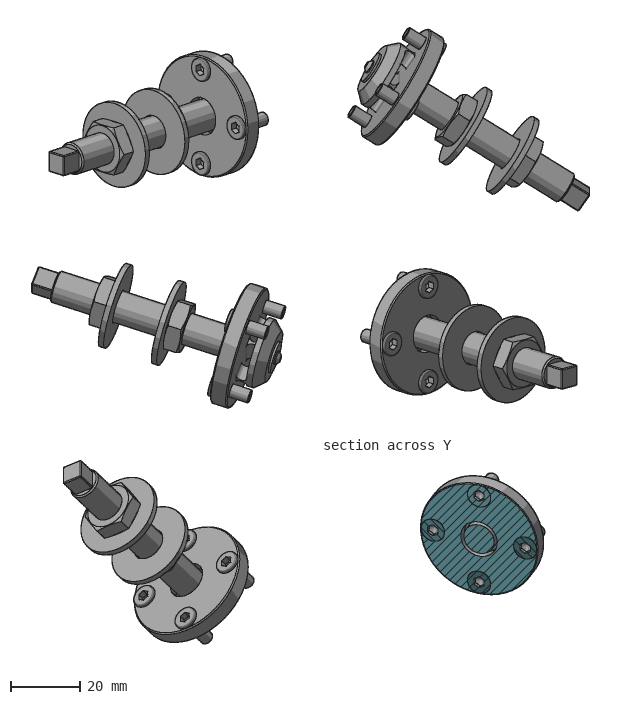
import cadquery as cq
import math


square_length = 6.3
recess_depth = 3.0
disc_front = 60.3
disc_thickness = 5.2
disc_back = disc_front + disc_thickness
rib_gap = 3.2
dome_front = disc_back + rib_gap
dome_rim_height = 1.8
dome_cone_height = 2.95
dome_back = dome_front + dome_rim_height + dome_cone_height
boss_height = 0.7
overall_length = 75.5

shaft_radius = 4.75
shaft_chamfer = 0.45
square_side = 6.2
square_chamfer = 0.3
disc_radius = 18.3
disc_chamfer = 0.4
recess_radius = 5.6
dome_radius = 10.4
dome_top_radius = 7.7
tip_radius = 2.05
tip_chamfer = 1.0

rib_fillet = rib_gap / 2
rib_half_web = 0.4
side_rib_inner = 5.7

hex_flats = 14.4
hex_corner_radius = hex_flats / math.sqrt(3)
nut_height = 4.8
nut_face_radius = 7.0
nut_chamfer_angle = 20
washer_radius = 12.7
washer_bore_radius = 5.0
washer_thickness = 1.65
front_washer_front = 24.0
rear_washer_front = 40.3

screw_count = 4
screw_circle_radius = 14.35
screw_radius = 2.0
screw_length = 7.9
screw_end_chamfer = 0.2
head_radius = 3.51
head_height = 4.0
head_fillet = 0.3
head_protrusion = 0.9
socket_flats = 3.0
socket_corner_radius = socket_flats / math.sqrt(3)
socket_depth = 2.0
socket_cone_height = 1.0
head_front = disc_front - head_protrusion
head_seat = head_front + head_height


def cylinder(radius, y_start, length):
    """Cylinder on the Y axis, running from y_start towards +Y."""
    return cq.Workplane("XZ", origin=(0, y_start, 0)).circle(radius).extrude(-length)


def hexagon(corner_radius, y_start, length, turn=0):
    """Hexagonal prism on the Y axis, with corners on +X and -X when turn is 0."""
    prism = cq.Workplane("XZ", origin=(0, y_start, 0)).polygon(6, 2 * corner_radius).extrude(-length)
    return prism.rotate((0, 0, 0), (0, 1, 0), turn)


def revolve_about_y(points):
    """Solid of revolution from (radius, y) points."""
    return cq.Workplane("XY").polyline(points).close().revolve(360, (0, 0, 0), (0, 1, 0))


def screw_places(body):
    """Copies of a body on the Y axis, moved to the places of the screws."""
    copies = []
    for index in range(screw_count):
        turn = math.radians(index * 360 / screw_count)
        x = screw_circle_radius * math.cos(turn)
        z = screw_circle_radius * math.sin(turn)
        copies.append(body.translate((x, 0, z)))
    return copies


def make_shaft():
    square = cq.Workplane("XZ").rect(square_side, square_side).extrude(-square_length)
    square = square.edges("|Y or <Y").chamfer(square_chamfer)
    rod = cylinder(shaft_radius, square_length, disc_back - square_length)
    rod = rod.faces("<Y").chamfer(shaft_chamfer)
    return square.union(rod)


def make_disc():
    disc = cylinder(disc_radius, disc_front, disc_thickness).edges().chamfer(disc_chamfer)
    disc = disc.cut(cylinder(recess_radius, disc_front, recess_depth))
    counterbore = cylinder(head_radius, disc_front, head_seat - disc_front)
    clearance = cylinder(screw_radius, disc_front, disc_thickness)
    for hole in screw_places(counterbore.union(clearance)):
        disc = disc.cut(hole)
    return disc


def make_dome():
    cone_start = dome_front + dome_rim_height
    boss_back = dome_back + boss_height
    return revolve_about_y([
        (0, dome_front),
        (dome_radius, dome_front),
        (dome_radius, cone_start),
        (dome_top_radius, dome_back),
        (shaft_radius, dome_back),
        (shaft_radius, boss_back),
        (tip_radius, boss_back),
        (tip_radius, overall_length - tip_chamfer),
        (tip_radius - tip_chamfer, overall_length),
        (0, overall_length),
    ])


def make_rib(length):
    """Web along X, centred on the Y axis, with full-height fillets to the disc and dome."""
    foot = rib_half_web + rib_fillet
    middle = disc_back + rib_fillet
    rib = cq.Workplane("YZ").center(middle, 0).rect(rib_gap, 2 * foot).extrude(length / 2, both=True)
    for side in (-foot, foot):
        groove = cq.Workplane("YZ").center(middle, side).circle(rib_fillet).extrude(length, both=True)
        rib = rib.cut(groove)
    return rib


def make_ribs():
    side_ribs = make_rib(2 * dome_radius).intersect(cylinder(dome_radius, disc_back, rib_gap))
    middle_gap = cq.Workplane("XZ", origin=(0, disc_back, 0))
    middle_gap = middle_gap.rect(2 * side_rib_inner, 2 * shaft_radius).extrude(-rib_gap)
    centre_rib = make_rib(2 * shaft_radius).rotate((0, 0, 0), (0, 1, 0), 90)
    return side_ribs.cut(middle_gap).union(centre_rib)


def make_main_body():
    return make_disc().union(make_shaft()).union(make_ribs()).union(make_dome())


def make_nut(y_start):
    corner_drop = (hex_corner_radius - nut_face_radius) * math.tan(math.radians(nut_chamfer_angle))
    y_end = y_start + nut_height
    envelope = revolve_about_y([
        (0, y_start),
        (nut_face_radius, y_start),
        (hex_corner_radius, y_start + corner_drop),
        (hex_corner_radius, y_end - corner_drop),
        (nut_face_radius, y_end),
        (0, y_end),
    ])
    nut = hexagon(hex_corner_radius, y_start, nut_height).intersect(envelope)
    return nut.cut(cylinder(shaft_radius, y_start, nut_height))


def make_washer(y_start):
    washer = cylinder(washer_radius, y_start, washer_thickness)
    return washer.cut(cylinder(washer_bore_radius, y_start, washer_thickness))


def make_screw():
    head = cylinder(head_radius, head_front, head_height).faces("<Y").edges().fillet(head_fillet)
    shank = cylinder(screw_radius, head_seat, screw_length).faces(">Y").chamfer(screw_end_chamfer)
    socket_floor = head_front + socket_depth
    socket_envelope = revolve_about_y([
        (0, head_front),
        (socket_corner_radius, head_front),
        (socket_corner_radius, socket_floor),
        (0, socket_floor + socket_cone_height),
    ])
    socket = hexagon(socket_corner_radius, head_front, socket_depth + socket_cone_height, turn=30)
    return head.union(shank).cut(socket.intersect(socket_envelope))


main_body = make_main_body()
nuts = [
    make_nut(front_washer_front - nut_height),
    make_nut(rear_washer_front + washer_thickness),
]
washers = [make_washer(y) for y in (front_washer_front, rear_washer_front)]
screws = screw_places(make_screw())

bodies = [main_body, *nuts, *washers, *screws]
result = cq.Compound.makeCompound([body.val() for body in bodies])